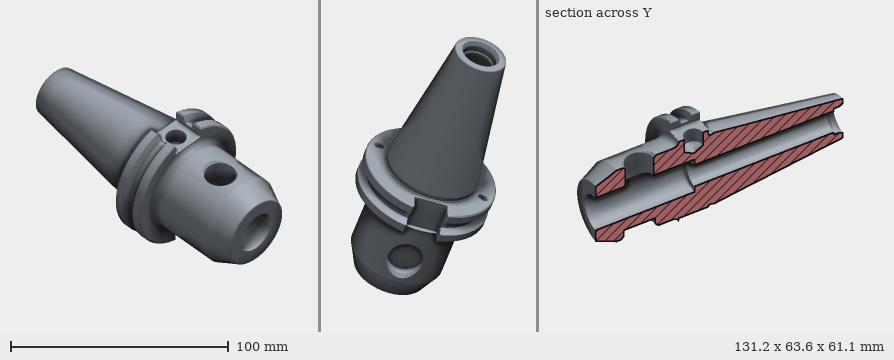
import cadquery as cq
import math

total_length = 131.2
gauge_x = 68.1
relief_start_x = 69.5
flange_x = 71.1
flange_width = 15.9
flange_end_x = flange_x + flange_width
nose_cone_x = 120.1

taper_slope = 7 / 48
gauge_radius = 22.3
tail_radius = gauge_radius - gauge_x * taper_slope
relief_radius = 21.8
relief_fillet = 0.5
flange_radius = 31.8
body_radius = 22.3
body_fillet = 2.9
nose_radius = 17.0
edge_fillet = 0.8
flange_fillet = 1.0

groove_radius = 28.2
groove_center_x = 79.1
groove_floor_width = 3.7
groove_mouth_width = 7.1

tail_bore_radius = 9.0
tail_bore_inner_radius = 8.0
tail_bore_cone_depth = 2.1
tail_bore_depth = 4.9
through_radius = 6.5
tool_bore_radius = 10.0
tool_bore_depth = 52.5

slot_width = 16.1
slot_floors = {1: 25.1, -1: 22.8}
slot_corner_fillet = 0.5
slot_rim_chamfer = 0.7

chip_hole_radius = 4.92
chip_hole_depth = 7.9
drill_half_angle = math.radians(59)

screw_x = 107.8
screw_radius = 7.5
screw_countersink_z = 21.0
recess_radius = 8.3
recess_countersink_z = 20.6
recess_floor_z = 17.0

coolant_radius = 2.0
coolant_depth = 2.0
coolant_tilt = 40.0
coolant_pitch_radius = 26.9
coolant_angles = (20.0, 200.0)


AXIS = cq.Vector(1, 0, 0)
DOWN = cq.Vector(0, 0, -1)
UP = cq.Vector(0, 0, 1)


def cylinder(radius, start, direction, length):
    return cq.Workplane(cq.Solid.makeCylinder(radius, length, start, direction))


def cone(start_radius, end_radius, start, direction, length):
    return cq.Workplane(cq.Solid.makeCone(start_radius, end_radius, length, start, direction))


def drilled_hole(radius, start, direction, length):
    """Blind hole with the conical floor left by a drill."""
    tip_length = radius / math.tan(drill_half_angle)
    tip = cone(radius, 0, start + direction * length, direction, tip_length)
    return cylinder(radius, start, direction, length).union(tip)


def rim(x, radius):
    """Selector for the circular edge of a given radius in the plane at x."""
    size = radius + 0.1
    margin = 0.01
    return cq.selectors.BoxSelector(
        (x - margin, -size, -size), (x + margin, size, size), boundingbox=True
    )


def turned_body():
    """Taper, flange, clamping body and nose as solids of revolution."""
    shank = (
        cq.Workplane("XY")
        .moveTo(0, 0)
        .lineTo(0, tail_radius)
        .lineTo(gauge_x, gauge_radius)
        .lineTo(relief_start_x, relief_radius)
        .lineTo(flange_x - relief_fillet, relief_radius)
        .radiusArc((flange_x, relief_radius + relief_fillet), relief_fillet)
        .lineTo(flange_x, flange_radius)
        .lineTo(groove_center_x - groove_mouth_width / 2, flange_radius)
        .lineTo(groove_center_x - groove_floor_width / 2, groove_radius)
        .lineTo(groove_center_x + groove_floor_width / 2, groove_radius)
        .lineTo(groove_center_x + groove_mouth_width / 2, flange_radius)
        .lineTo(flange_end_x, flange_radius)
        .lineTo(flange_end_x, body_radius + body_fillet)
        .radiusArc((flange_end_x + body_fillet, body_radius), -body_fillet)
        .lineTo(nose_cone_x, body_radius)
        .lineTo(total_length, nose_radius)
        .lineTo(total_length, 0)
        .close()
        .revolve(360, (0, 0, 0), (1, 0, 0))
    )
    shank = shank.edges(rim(0, tail_radius)).fillet(edge_fillet)
    shank = shank.edges(rim(total_length, nose_radius)).fillet(edge_fillet)
    for face_x in (flange_x, flange_end_x):
        outer_rim = rim(face_x, flange_radius) - rim(face_x, body_radius + body_fillet)
        shank = shank.edges(outer_rim).fillet(flange_fillet)
    return shank


def axial_bores():
    tail = cq.Vector(0, 0, 0)
    nose = cq.Vector(total_length, 0, 0)
    through = cylinder(through_radius, tail, AXIS, total_length)
    tail_bore = cylinder(tail_bore_inner_radius, tail, AXIS, tail_bore_depth)
    tail_cone = cone(tail_bore_radius, tail_bore_inner_radius, tail, AXIS, tail_bore_cone_depth)
    tool_bore = cylinder(tool_bore_radius, nose, -AXIS, tool_bore_depth)
    return through.union(tail_bore).union(tail_cone).union(tool_bore)


def drive_slot(side):
    """Slot across the flange, with rounded floor corners and chamfered outer rims."""
    floor = slot_floors[side]
    slot_height = flange_radius - floor
    start_x = relief_start_x
    length = flange_end_x - start_x
    slot = (
        cq.Workplane("YZ", origin=(start_x, 0, 0))
        .center(0, side * (floor + slot_height / 2))
        .rect(slot_width, slot_height)
        .extrude(length)
        .edges("|X and " + ("<Z" if side > 0 else ">Z"))
        .fillet(slot_corner_fillet)
    )
    half_width = slot_width / 2
    rim_half_width = half_width + slot_rim_chamfer
    rim_z = math.sqrt(flange_radius**2 - rim_half_width**2)
    chamfer = (
        cq.Workplane("YZ", origin=(start_x, 0, 0))
        .polyline(
            [
                (-half_width, side * (rim_z - slot_rim_chamfer)),
                (half_width, side * (rim_z - slot_rim_chamfer)),
                (rim_half_width, side * rim_z),
                (rim_half_width, side * flange_radius),
                (-rim_half_width, side * flange_radius),
                (-rim_half_width, side * rim_z),
            ]
        )
        .close()
        .extrude(length)
    )
    return slot.union(chamfer)


def countersunk_hole(side, radius, countersink_z, floor_z):
    """Radial hole into the body with a 45 degree countersink that opens at the surface."""
    outward = UP if side > 0 else DOWN
    station = cq.Vector(screw_x, 0, 0)
    flare = flange_radius - countersink_z
    hole = cylinder(radius, station + outward * floor_z, outward, flange_radius - floor_z)
    countersink = cone(radius, radius + flare, station + outward * countersink_z, outward, flare)
    return hole.union(countersink)


def coolant_hole(angle):
    turn = math.radians(angle)
    tilt = math.radians(coolant_tilt)
    radial = cq.Vector(0, math.cos(turn), math.sin(turn))
    direction = AXIS * math.cos(tilt) - radial * math.sin(tilt)
    mouth = AXIS * flange_x + radial * coolant_pitch_radius
    lead_in = coolant_radius * math.tan(tilt)
    return drilled_hole(
        coolant_radius, mouth - direction * lead_in, direction, coolant_depth + lead_in
    )


result = turned_body().cut(axial_bores())
for slot_side in slot_floors:
    result = result.cut(drive_slot(slot_side))

chip_hole_start = cq.Vector(flange_x + flange_width / 2, 0, slot_floors[1])
result = result.cut(drilled_hole(chip_hole_radius, chip_hole_start, DOWN, chip_hole_depth))

result = result.cut(countersunk_hole(1, screw_radius, screw_countersink_z, 0))
result = result.cut(countersunk_hole(-1, recess_radius, recess_countersink_z, recess_floor_z))

for hole_angle in coolant_angles:
    result = result.cut(coolant_hole(hole_angle))